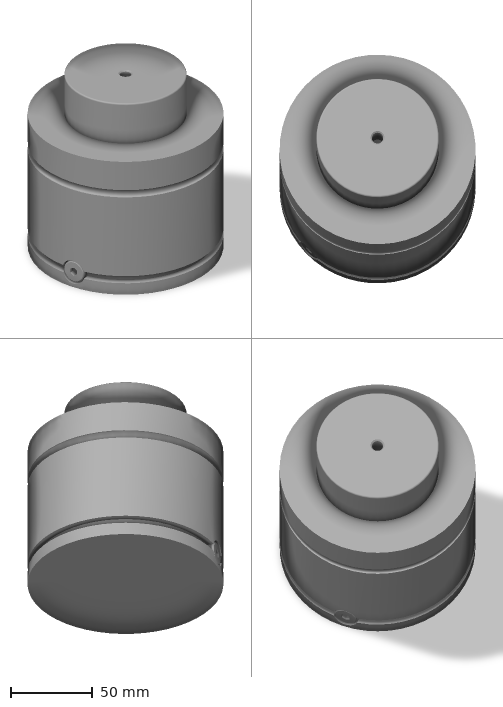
import cadquery as cq
import math

total_height = 122.0
body_radius = 60.0
shoulder_height = 94.0

rod_radius = 75.0 / 2
rod_edge_radius = 1.0

hole_radius = 6.8 / 2
hole_mouth_radius = 8.5 / 2
hole_depth = 17.1
drill_tip_angle = 118.0

round_groove_height = 71.4
round_groove_radius = 2.6

square_groove_bottom = 8.0
square_groove_top = 13.0
square_groove_floor_radius = 56.0

plug_height = (square_groove_bottom + square_groove_top) / 2
pocket_radius = 16.0 / 2
pocket_floor_distance = 55.0
plug_radius = 14.0 / 2
plug_chamfer = 0.5
plug_face_distance = 59.4
hex_across_flats = 5.0
hex_depth = 3.0


def make_body():
    """Revolve the body and rod outline, both grooves included."""
    return (
        cq.Workplane("XZ")
        .lineTo(body_radius, 0)
        .lineTo(body_radius, square_groove_bottom)
        .lineTo(square_groove_floor_radius, square_groove_bottom)
        .lineTo(square_groove_floor_radius, square_groove_top)
        .lineTo(body_radius, square_groove_top)
        .lineTo(body_radius, round_groove_height - round_groove_radius)
        .threePointArc(
            (body_radius - round_groove_radius, round_groove_height),
            (body_radius, round_groove_height + round_groove_radius),
        )
        .lineTo(body_radius, shoulder_height)
        .lineTo(rod_radius, shoulder_height)
        .lineTo(rod_radius, total_height - rod_edge_radius)
        .radiusArc((rod_radius - rod_edge_radius, total_height), -rod_edge_radius)
        .lineTo(0, total_height)
        .close()
        .revolve(360, (0, 0, 0), (0, 1, 0))
    )


def make_rod_hole():
    """Countersunk blind hole with a conical drill tip, as a cutter."""
    countersink_depth = hole_mouth_radius - hole_radius
    tip_height = hole_radius / math.tan(math.radians(drill_tip_angle / 2))
    cylinder_end = total_height - hole_depth
    return (
        cq.Workplane("XZ")
        .moveTo(0, total_height)
        .lineTo(hole_mouth_radius, total_height)
        .lineTo(hole_radius, total_height - countersink_depth)
        .lineTo(hole_radius, cylinder_end)
        .lineTo(0, cylinder_end - tip_height)
        .close()
        .revolve(360, (0, 0, 0), (0, 1, 0))
    )


def side_plane(distance):
    """Workplane facing -Y, at a distance from the axis and at plug height."""
    return cq.Workplane("XZ", origin=(0, -distance, plug_height))


def make_plug_pocket():
    """Round pocket, slightly deeper than the square groove, as a cutter."""
    pocket_depth = body_radius - pocket_floor_distance
    return side_plane(pocket_floor_distance).circle(pocket_radius).extrude(pocket_depth)


def make_plug():
    """Chamfered plug with a hexagon socket, rooted inside the body."""
    root_overlap = 2.5
    root_distance = pocket_floor_distance - root_overlap
    hex_corner_diameter = hex_across_flats / math.cos(math.radians(30))
    plug = (
        side_plane(root_distance)
        .circle(plug_radius)
        .extrude(plug_face_distance - root_distance)
        .faces("<Y")
        .chamfer(plug_chamfer)
    )
    socket = (
        side_plane(plug_face_distance - hex_depth)
        .transformed(rotate=(0, 0, 90))
        .polygon(6, hex_corner_diameter)
        .extrude(hex_depth)
    )
    return plug.cut(socket)


result = make_body().cut(make_rod_hole()).cut(make_plug_pocket()).union(make_plug())